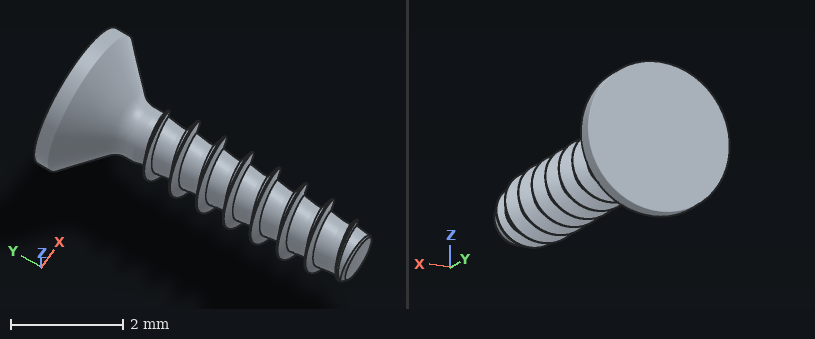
import cadquery as cq
import math

length = 6.0
head_diameter = 2.8
head_radius = head_diameter / 2
rim_height = 0.3
rim_round = 0.02
neck_radius = 0.52
neck_blend_radius = 0.41
neck_end = 1.525
core_taper_end = 1.77
core_radius = 0.46
tip_cone_radius = 0.44
tip_cone_height = 0.01
tip_allowance = 0.12

pitch = 0.57
first_crest = 1.585
start_turn = -0.25
end_turn = 7.75
run_in_turns = 1.25
run_out_turns = 2.0
crest_radius = 0.7
start_crest_radius = 0.53
end_crest_height = 0.02
root_radius = 0.41
flank_foot_radius = 0.455
crest_half_width = 0.015
head_flank_width = 0.095
tip_flank_width = 0.06
ridge_height = 0.039
ridge_share = 0.9
ridge_end = 0.41
face_turns = 0.5
spans_per_face = 12


def make_body():
    """Head, neck and core as one revolved outline of (radius, Y) points."""
    half_angle = math.radians(45)
    blend_drop = neck_blend_radius * (1 - math.cos(half_angle))
    blend_start_radius = neck_radius + blend_drop
    blend_start = rim_height + head_radius - blend_start_radius
    blend_end = blend_start + neck_blend_radius * math.sin(half_angle)
    blend_middle = (
        neck_radius + neck_blend_radius * (1 - math.cos(half_angle / 2)),
        -(blend_end - neck_blend_radius * math.sin(half_angle / 2)),
    )
    body = (
        cq.Workplane("XY")
        .moveTo(0, 0)
        .lineTo(head_radius, 0)
        .lineTo(head_radius, -rim_height)
        .lineTo(blend_start_radius, -blend_start)
        .threePointArc(blend_middle, (neck_radius, -blend_end))
        .lineTo(neck_radius, -neck_end)
        .lineTo(core_radius, -core_taper_end)
        .lineTo(core_radius, -(length + tip_allowance))
        .lineTo(0, -(length + tip_allowance))
        .close()
        .revolve(360, (0, 0, 0), (0, 1, 0))
    )
    rim_edges = cq.selectors.RadiusNthSelector(-1)
    return body.edges(rim_edges).fillet(rim_round)


def crest_height(turn):
    """Tooth height above the core, fading at both ends of the thread."""
    full_height = crest_radius - core_radius
    start_height = start_crest_radius - core_radius
    run_in = min(1, (turn - start_turn) / run_in_turns)
    run_out = min(1, (end_turn - turn) / run_out_turns)
    rising = start_height + (full_height - start_height) * math.sin(run_in * math.pi / 2)
    falling = end_crest_height + (full_height - end_crest_height) * math.sin(run_out * math.pi / 2)
    return min(rising, falling)


def tooth_profile(turn):
    """Tooth corners as (radius, distance from the crest toward the tip)."""
    height = crest_height(turn)
    fade = height / (crest_radius - core_radius)
    ridge_radius = core_radius + min(ridge_height, ridge_share * height)
    head_side = -crest_half_width - head_flank_width * fade
    tip_side = crest_half_width + tip_flank_width * fade
    return [
        (root_radius, head_side),
        (flank_foot_radius, head_side),
        (core_radius + height, -crest_half_width),
        (core_radius + height, crest_half_width),
        (ridge_radius, tip_side),
        (flank_foot_radius, ridge_end),
        (root_radius, ridge_end),
    ]


def thread_point(turn, corner):
    radius, offset = tooth_profile(turn)[corner]
    angle = 2 * math.pi * turn
    depth = first_crest + pitch * turn + offset
    return cq.Vector(radius * math.cos(angle), -depth, radius * math.sin(angle))


def corner_curve(first_turn, corner):
    turns = [first_turn + face_turns * i / spans_per_face for i in range(spans_per_face + 1)]
    return cq.Edge.makeSpline([thread_point(turn, corner) for turn in turns])


def make_thread():
    """Solid thread bounded by ruled faces between helical corner curves."""
    corners = range(len(tooth_profile(start_turn)))
    faces = []
    for step in range(round((end_turn - start_turn) / face_turns)):
        first_turn = start_turn + step * face_turns
        curves = [corner_curve(first_turn, corner) for corner in corners]
        faces += [cq.Face.makeRuledSurface(curves[c - 1], curves[c]) for c in corners]
    for turn in (start_turn, end_turn):
        outline = [thread_point(turn, corner) for corner in corners]
        faces.append(cq.Face.makeFromWires(cq.Wire.makePolygon(outline, close=True)))
    return cq.Workplane(cq.Solid.makeSolid(cq.Shell.makeShell(faces)))


def make_envelope():
    """Space occupied by the finished length, closed by the tip cone and its 45-degree edge."""
    envelope_radius = 2 * head_radius
    cone_base = tip_cone_height - length
    edge_rise = envelope_radius - tip_cone_radius
    return (
        cq.Workplane("XY")
        .moveTo(0, pitch)
        .lineTo(envelope_radius, pitch)
        .lineTo(envelope_radius, cone_base + edge_rise)
        .lineTo(tip_cone_radius, cone_base)
        .lineTo(0, -length)
        .close()
        .revolve(360, (0, 0, 0), (0, 1, 0))
    )


result = make_body().union(make_thread()).intersect(make_envelope())